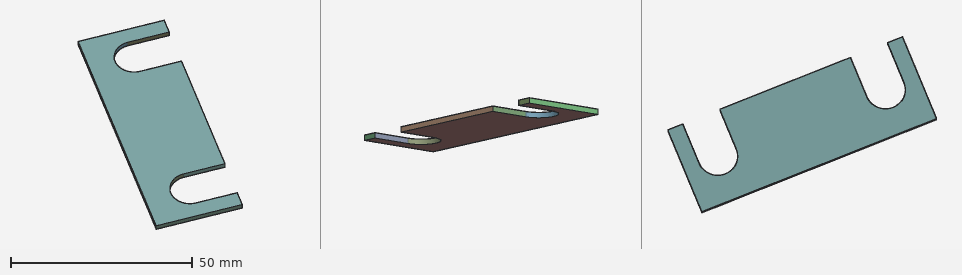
import cadquery as cq

length = 70.0
width = 25.0
thickness = 1.55

slot_width = 11.0
slot_radius = slot_width / 2
slot_center_from_end = 10.0
slot_floor = 7.5

slot_x = length / 2 - slot_center_from_end
slot_end_y = -width / 2 + slot_floor + slot_radius
back_y = width / 2


def open_slot(center_x):
    """Cutter for one slot: straight sides from the +Y edge to a half-round end."""
    left = center_x - slot_radius
    right = center_x + slot_radius
    return (
        cq.Workplane("XY")
        .moveTo(left, back_y)
        .lineTo(left, slot_end_y)
        .threePointArc((center_x, slot_end_y - slot_radius), (right, slot_end_y))
        .lineTo(right, back_y)
        .close()
        .extrude(thickness)
    )


result = cq.Workplane("XY").box(length, width, thickness, centered=(True, True, False))
for center_x in (-slot_x, slot_x):
    result = result.cut(open_slot(center_x))